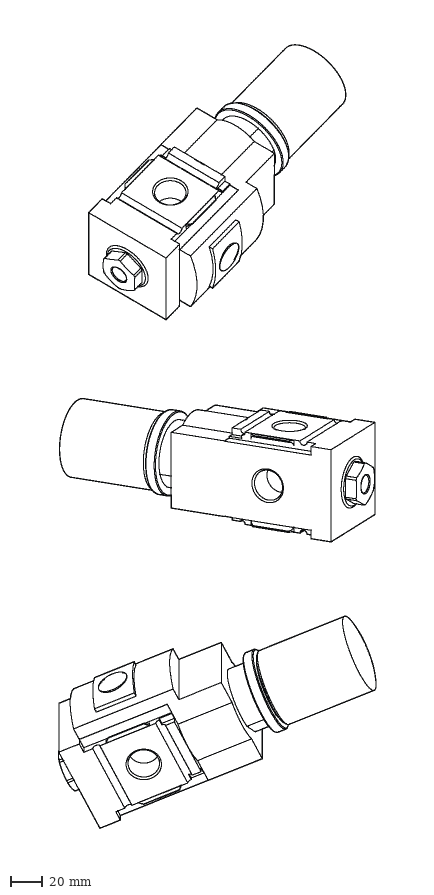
import cadquery as cq
import math

BLOCK_SIZE = 62.0
BLOCK_HALF = BLOCK_SIZE / 2
BLOCK_FRONT_Y = -45.4
BLOCK_BACK_Y = 69.0
SEAT_HALF_LENGTH = 31.0
SIDE_HALF_HEIGHT = 25.5
CROWN_HALF_WIDTH = 14.8
CROWN_HALF_HEIGHT = 30.5

LEDGE_DROP = 0.2
LEDGE_Z = SIDE_HALF_HEIGHT - LEDGE_DROP
SEAT_HALF_WIDTH = 24.3
GROOVE_RADIUS = 2.5
GROOVE_Y = 22.2
NOTCH_FLOOR_Z = 26.5
NOTCH_INNER_X = 20.3
LUG_REACH = 2.7
LUG_HALF_LENGTH = 15.3
LUG_BOTTOM_Z = 27.2
LUG_TOP_Z = 30.7

PORT_DIAMETER = 20.0
PORT_CHAMFER = 1.3
PORT_DEPTH = 18.8

COVER_BACK_Y = 39.0
COVER_EDGE_X = 39.7
COVER_PEAK_X = 45.0
BEZEL_HALF_SIZE_Y = 14.0
BEZEL_HALF_HEIGHT = 19.9
BEZEL_EDGE_X = 44.5
BEZEL_PEAK_X = 47.0
WINDOW_DIAMETER = 20.0
WINDOW_STANDOFF = 16.3

PLUG_END_Y = -54.4
FLANGE_RADIUS = 16.7
FLANGE_FACE_RADIUS = 15.3
FLANGE_THICKNESS = 1.0
HEX_ACROSS_FLATS = 25.0
HEX_CORNER_RADIUS = 14.0
HEX_CHAMFER = 0.5
PLUG_HOLE_DIAMETER = 11.5
PLUG_HOLE_CHAMFER = 0.6
PLUG_HOLE_DEPTH = BLOCK_FRONT_Y - PLUG_END_Y

NECK_DIAMETER = 44.0
NECK_ACROSS_FLATS = 40.1
NECK_FLAT_ANGLE = 45
NUT_DIAMETER = 55.0
NUT_FRONT_Y = 82.4
NUT_BACK_Y = 89.5
NUT_CHAMFER = 0.6
KNOB_RADIUS = 25.5
KNOB_FRONT_Y = 90.5
KNOB_CHAMFER = 1.3
KNOB_RIM_Y = 151.8
KNOB_END_Y = 154.7
KNOB_END_FLAT_RADIUS = 10.0


def box(x_range, y_range, z_range):
    """Box between the given limits along each axis."""
    size = [limits[1] - limits[0] for limits in (x_range, y_range, z_range)]
    corner = (x_range[0], y_range[0], z_range[0])
    return cq.Workplane("XY").box(*size, centered=False).translate(corner)


def cylinder_y(radius, y_start, y_end):
    """Cylinder on the Y axis."""
    return cq.Workplane("XZ", origin=(0, y_start, 0)).circle(radius).extrude(y_start - y_end)


def revolve_y(profile):
    """Solid of revolution about the Y axis from a closed (radius, y) sketch."""
    return profile.close().revolve(360, (0, 0, 0), (0, 1, 0))


def both_faces(shape):
    """The shape together with its mirror image on the opposite Z side."""
    return shape.union(shape.mirror("XY"))


def make_block():
    """Square block whose rear part is lower, with a rounded crown along its middle."""
    square = box(
        (-BLOCK_HALF, BLOCK_HALF), (BLOCK_FRONT_Y, SEAT_HALF_LENGTH), (-BLOCK_HALF, BLOCK_HALF)
    )
    rear_outline = (
        cq.Workplane("XZ", origin=(0, BLOCK_BACK_Y, 0))
        .moveTo(-BLOCK_HALF, -SIDE_HALF_HEIGHT)
        .lineTo(-BLOCK_HALF, SIDE_HALF_HEIGHT)
        .lineTo(-CROWN_HALF_WIDTH, SIDE_HALF_HEIGHT)
        .threePointArc((0, CROWN_HALF_HEIGHT), (CROWN_HALF_WIDTH, SIDE_HALF_HEIGHT))
        .lineTo(BLOCK_HALF, SIDE_HALF_HEIGHT)
        .lineTo(BLOCK_HALF, -SIDE_HALF_HEIGHT)
        .lineTo(CROWN_HALF_WIDTH, -SIDE_HALF_HEIGHT)
        .threePointArc((0, -CROWN_HALF_HEIGHT), (-CROWN_HALF_WIDTH, -SIDE_HALF_HEIGHT))
        .close()
    )
    return square.union(rear_outline.extrude(BLOCK_BACK_Y - SEAT_HALF_LENGTH))


def make_seat_cuts():
    """Side ledges, corner notches and cross grooves of the top seat."""
    ledge = box(
        (SEAT_HALF_WIDTH, BLOCK_HALF), (-SEAT_HALF_LENGTH, SEAT_HALF_LENGTH), (LEDGE_Z, BLOCK_HALF)
    )
    notch = box(
        (NOTCH_INNER_X, SEAT_HALF_WIDTH), (GROOVE_Y, SEAT_HALF_LENGTH), (NOTCH_FLOOR_Z, BLOCK_HALF)
    )
    one_side = ledge.union(notch)
    cuts = one_side.union(one_side.mirror("YZ"))
    for groove_y in (-GROOVE_Y, GROOVE_Y):
        groove = (
            cq.Workplane("YZ", origin=(-SEAT_HALF_WIDTH, groove_y, BLOCK_HALF))
            .circle(GROOVE_RADIUS)
            .extrude(2 * SEAT_HALF_WIDTH)
        )
        cuts = cuts.union(groove)
    return cuts


def make_lugs():
    """Lugs on both sides of the top seat, with 45 degree ends and a hollow quarter-round underside."""
    tip_x = SEAT_HALF_WIDTH + LUG_REACH
    tip_half_length = LUG_HALF_LENGTH - LUG_REACH
    plan = (
        cq.Workplane("XY", origin=(0, 0, LUG_BOTTOM_Z))
        .polyline([
            (SEAT_HALF_WIDTH, -LUG_HALF_LENGTH),
            (tip_x, -tip_half_length),
            (tip_x, tip_half_length),
            (SEAT_HALF_WIDTH, LUG_HALF_LENGTH),
        ])
        .close()
        .extrude(LUG_TOP_Z - LUG_BOTTOM_Z)
    )
    underside = (
        cq.Workplane("XZ", origin=(tip_x, LUG_HALF_LENGTH, LUG_BOTTOM_Z))
        .circle(LUG_REACH)
        .extrude(2 * LUG_HALF_LENGTH)
    )
    lug = plan.cut(underside)
    return lug.union(lug.mirror("YZ"))


def chamfered_hole(plane, origin, diameter, chamfer, depth):
    """Cutter for a blind hole entering against the plane's normal, chamfered at its mouth."""
    mouth = cq.Workplane(plane, origin=origin)
    bore = mouth.circle(diameter / 2).extrude(-depth)
    cone = mouth.circle(diameter / 2 + chamfer).extrude(-chamfer, taper=45)
    return bore.union(cone)


def make_ports():
    """Ports in the top, bottom and -X faces."""
    top = chamfered_hole("XY", (0, 0, BLOCK_HALF), PORT_DIAMETER, PORT_CHAMFER, PORT_DEPTH)
    side_plane = cq.Plane(origin=(-BLOCK_HALF, 0, 0), xDir=(0, 1, 0), normal=(-1, 0, 0))
    side = chamfered_hole(side_plane, side_plane.origin, PORT_DIAMETER, PORT_CHAMFER, PORT_DEPTH)
    return both_faces(top).union(side)


def bowed_plate(half_height, edge_x, peak_x, y_range):
    """Plate standing on the +X face of the block, with its outer face bowed about Y."""
    return (
        cq.Workplane("XZ", origin=(0, y_range[1], 0))
        .moveTo(BLOCK_HALF, -half_height)
        .lineTo(edge_x, -half_height)
        .threePointArc((peak_x, 0), (edge_x, half_height))
        .lineTo(BLOCK_HALF, half_height)
        .close()
        .extrude(y_range[1] - y_range[0])
    )


def make_gauge():
    """Bowed cover, its raised bezel and the round window."""
    cover = bowed_plate(
        SIDE_HALF_HEIGHT, COVER_EDGE_X, COVER_PEAK_X, (-SEAT_HALF_LENGTH, COVER_BACK_Y)
    )
    bezel = bowed_plate(
        BEZEL_HALF_HEIGHT, BEZEL_EDGE_X, BEZEL_PEAK_X, (-BEZEL_HALF_SIZE_Y, BEZEL_HALF_SIZE_Y)
    )
    window = (
        cq.Workplane("YZ", origin=(BLOCK_HALF, 0, 0))
        .circle(WINDOW_DIAMETER / 2)
        .extrude(WINDOW_STANDOFF)
    )
    return cover.union(bezel).union(window)


def make_plug():
    """Drain plug: conical flange and a hexagon with turned corners and a chamfered end."""
    flange_y = BLOCK_FRONT_Y - FLANGE_THICKNESS
    flange = revolve_y(
        cq.Workplane("XY")
        .moveTo(0, BLOCK_FRONT_Y)
        .lineTo(FLANGE_RADIUS, BLOCK_FRONT_Y)
        .lineTo(FLANGE_FACE_RADIUS, flange_y)
        .lineTo(0, flange_y)
    )
    corner_diameter = HEX_ACROSS_FLATS / math.cos(math.radians(30))
    hexagon = (
        cq.Workplane("XZ", origin=(0, flange_y, 0))
        .transformed(rotate=(0, 0, 30))
        .polygon(6, corner_diameter)
        .extrude(flange_y - PLUG_END_Y)
    )
    turned = revolve_y(
        cq.Workplane("XY")
        .moveTo(0, flange_y)
        .lineTo(HEX_CORNER_RADIUS, flange_y)
        .lineTo(HEX_CORNER_RADIUS, PLUG_END_Y + HEX_CHAMFER)
        .lineTo(HEX_ACROSS_FLATS / 2, PLUG_END_Y)
        .lineTo(0, PLUG_END_Y)
    )
    hole = chamfered_hole(
        "XZ", (0, PLUG_END_Y, 0), PLUG_HOLE_DIAMETER, PLUG_HOLE_CHAMFER, PLUG_HOLE_DEPTH
    )
    return flange.union(hexagon.intersect(turned)).cut(hole)


def make_neck():
    """Round neck with two opposite flats turned about the Y axis."""
    round_neck = cylinder_y(NECK_DIAMETER / 2, BLOCK_BACK_Y, KNOB_FRONT_Y)
    flats = box(
        (-NECK_DIAMETER, NECK_DIAMETER),
        (BLOCK_BACK_Y, KNOB_FRONT_Y),
        (-NECK_ACROSS_FLATS / 2, NECK_ACROSS_FLATS / 2),
    ).rotate((0, 0, 0), (0, 1, 0), NECK_FLAT_ANGLE)
    return round_neck.intersect(flats)


def make_knob():
    """Knob with a chamfered front rim and a rounded shoulder that runs smoothly into its flat end."""
    shoulder_width = KNOB_RADIUS - KNOB_END_FLAT_RADIUS
    shoulder_drop = KNOB_END_Y - KNOB_RIM_Y
    shoulder_radius = (shoulder_width ** 2 + shoulder_drop ** 2) / (2 * shoulder_drop)
    mid_offset = shoulder_width / 2
    mid_drop = shoulder_radius - math.sqrt(shoulder_radius ** 2 - mid_offset ** 2)
    return revolve_y(
        cq.Workplane("XY")
        .moveTo(0, KNOB_FRONT_Y)
        .lineTo(KNOB_RADIUS - KNOB_CHAMFER, KNOB_FRONT_Y)
        .lineTo(KNOB_RADIUS, KNOB_FRONT_Y + KNOB_CHAMFER)
        .lineTo(KNOB_RADIUS, KNOB_RIM_Y)
        .threePointArc(
            (KNOB_END_FLAT_RADIUS + mid_offset, KNOB_END_Y - mid_drop),
            (KNOB_END_FLAT_RADIUS, KNOB_END_Y),
        )
        .lineTo(0, KNOB_END_Y)
    )


def make_valve():
    """Valve body with its gauge, plug, neck and knob."""
    valve = make_block().cut(both_faces(make_seat_cuts()))
    valve = valve.union(both_faces(make_lugs())).union(make_gauge())
    valve = valve.cut(make_ports())
    return valve.union(make_plug()).union(make_neck()).union(make_knob())


def make_panel_nut():
    """Ring nut around the neck, chamfered on its outer edges."""
    blank = cylinder_y(NUT_DIAMETER / 2, NUT_FRONT_Y, NUT_BACK_Y).edges("%CIRCLE").chamfer(NUT_CHAMFER)
    return blank.cut(cylinder_y(NECK_DIAMETER / 2, NUT_FRONT_Y, NUT_BACK_Y))


valve_body = make_valve()
panel_nut = make_panel_nut()
result = cq.Compound.makeCompound([valve_body.solids().val(), panel_nut.solids().val()])